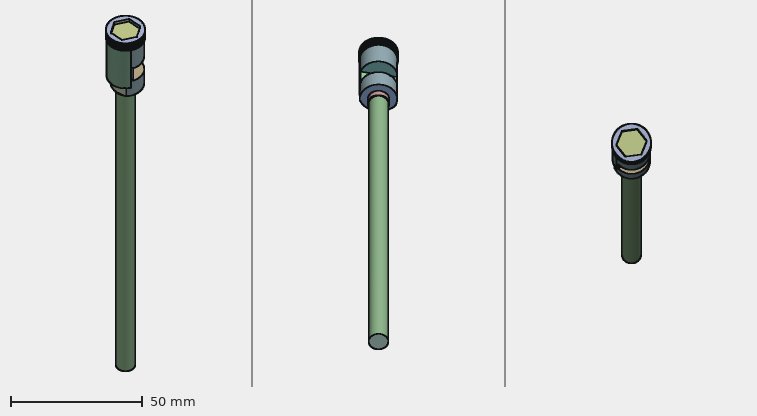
import cadquery as cq
import math

length = 178.5
ring_radius = 7.5
skirt_radius = 7.3
rear_radius = 7.1
rod_radius = 3.7
collar_radius = 4.1

front_skirt_depth = 24.3
head_depth = 28.5
collar_depth = 31.2

groove_radius = 7.1
groove_height = 1.0
groove_depths = (0.7, 2.5)
ring_band_depth = 4.1

lower_edge_y = -1.8
lower_front_y = -5.7

notch_top_depth = 14.3
notch_bottom_depth = 20.9
notch_floor_y = 0.9

socket_flats = 10.2
socket_depth = 1.5


def cylinder(radius, top_depth, bottom_depth):
    """Cylinder on the rod axis between two depths below the top face."""
    return (
        cq.Workplane("XY")
        .workplane(offset=length - bottom_depth)
        .circle(radius)
        .extrude(bottom_depth - top_depth)
    )


def box_beyond_y(y, top_depth, bottom_depth):
    """Block covering the head on the +Y side of the given plane."""
    width = 4 * skirt_radius
    return (
        cq.Workplane("XY")
        .workplane(offset=length - bottom_depth)
        .center(0, y + width / 2)
        .rect(width, width)
        .extrude(bottom_depth - top_depth)
    )


def lower_head():
    """Head below the skirt: round at the rear, off-axis arc at the front."""
    edge_x = math.sqrt(rear_radius**2 - lower_edge_y**2)
    return (
        cq.Workplane("XY")
        .workplane(offset=length - head_depth)
        .moveTo(-edge_x, lower_edge_y)
        .threePointArc((0, lower_front_y), (edge_x, lower_edge_y))
        .threePointArc((0, rear_radius), (-edge_x, lower_edge_y))
        .close()
        .extrude(head_depth - front_skirt_depth)
    )


def head():
    """Ringed head with a wide front skirt and a slightly smaller rear half."""
    ring_band = cylinder(ring_radius, 0, ring_band_depth)
    skirt = cylinder(skirt_radius, ring_band_depth, front_skirt_depth).cut(
        box_beyond_y(0, ring_band_depth, front_skirt_depth)
    )
    rear = cylinder(rear_radius, ring_band_depth, front_skirt_depth)
    return ring_band.union(skirt).union(rear).union(lower_head())


def groove(top_depth):
    bottom_depth = top_depth + groove_height
    return cylinder(ring_radius, top_depth, bottom_depth).cut(
        cylinder(groove_radius, top_depth, bottom_depth)
    )


def socket():
    corner_diameter = socket_flats / math.cos(math.pi / 6)
    return (
        cq.Workplane("XY")
        .workplane(offset=length - socket_depth)
        .transformed(rotate=(0, 0, 90))
        .polygon(6, corner_diameter)
        .extrude(socket_depth)
    )


result = head()
for groove_depth in groove_depths:
    result = result.cut(groove(groove_depth))
result = result.cut(box_beyond_y(notch_floor_y, notch_top_depth, notch_bottom_depth))
result = result.cut(socket())
result = result.union(cylinder(collar_radius, head_depth, collar_depth))
result = result.union(cylinder(rod_radius, collar_depth, length))